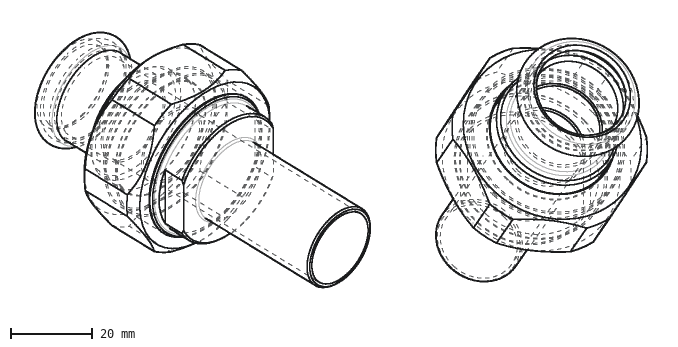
import cadquery as cq
import math

TOTAL_LENGTH = 92.0

TUBE_DIAMETER = 25.3
SOCKET_BORE = 22.3
SOCKET_STOP_BORE = 21.0
MOUTH_BORE = 22.8
MOUTH_LIP_DIAMETER = 24.6
MOUTH_LIP_END_X = 1.3
BEAD_CENTRE_X = 3.7
BEAD_DIAMETER = 30.9
BEAD_SHOULDER_DIAMETER = 27.4
BEAD_START_X = 0.9
BEAD_END_X = 6.6
BEAD_FOOT_X = 7.3
GROOVE_START_X = 1.7
GROOVE_END_X = 5.3
GROOVE_END_DIAMETER = 26.7
GROOVE_WALL_FOOT_X = 5.9
GROOVE_WALL_FOOT_DIAMETER = 24.3
COLLAR_DIAMETER = 31.0
COLLAR_X = 20.9
COLLAR_CHAMFER_LENGTH = 1.1
COLLAR_CHAMFER_DEPTH = 0.7
COLLAR_FILLET = 0.7
FLANGE_DIAMETER = 38.0

NUT_START_X = 26.5
NUT_LENGTH = 19.1
NUT_ACROSS_FLATS = 46.0
NUT_CORNER_DIAMETER = 49.7
NUT_TURN = 30.0
NUT_FACE_DIAMETER = 45.3
NUT_CHAMFER_LENGTH = 2.3
NUT_LIP_BORE = 31.5
NUT_LIP_LENGTH = 3.9
NUT_LIP_CHAMFER = 0.3

THREAD_DIAMETER = 38.9
THREAD_CHAMFER = 0.5
THREAD_END_X = 46.4
BOSS_DIAMETER = 35.4
BOSS_FILLET = 0.7
BOSS_END_X = 53.7
BOSS_CHAMFER = 0.55
BOSS_ACROSS_FLATS = 31.3
FLAT_START_X = 47.4
PIPE_DIAMETER = 22.0
PIPE_BORE = 19.6
PIPE_FILLET = 0.55
PIPE_END_CHAMFER = 0.5

FLANGE_X = NUT_START_X + NUT_LIP_LENGTH
FLANGE_THICKNESS = 3.7
JOINT_X = FLANGE_X + FLANGE_THICKNESS
NUT_END_X = NUT_START_X + NUT_LENGTH

WALL = (TUBE_DIAMETER - SOCKET_BORE) / 2
ARC_MID = math.sqrt(0.5)


def revolve_about_x(profile):
    """Turn a closed (X, radius) profile about the X axis."""
    return profile.close().revolve(360, (0, 0, 0), (1, 0, 0))


def fillet_to(profile, start, end, centre):
    """Add a quarter round that runs from start to end about centre."""
    middle = tuple(c + ARC_MID * ((s - c) + (e - c)) for s, e, c in zip(start, end, centre))
    return profile.lineTo(*start).threePointArc(middle, end)


def make_socket():
    tube_radius = TUBE_DIAMETER / 2
    collar_radius = COLLAR_DIAMETER / 2
    bore_radius = SOCKET_BORE / 2
    mouth_radius = MOUTH_BORE / 2
    mouth_round = (MOUTH_LIP_DIAMETER - MOUTH_BORE) / 2
    groove_radius = BEAD_DIAMETER / 2 - WALL
    collar_foot = COLLAR_X - COLLAR_FILLET

    profile = (
        cq.Workplane("XY")
        .moveTo(0, MOUTH_LIP_DIAMETER / 2)
        .lineTo(BEAD_START_X, BEAD_SHOULDER_DIAMETER / 2)
        .threePointArc((BEAD_CENTRE_X, BEAD_DIAMETER / 2), (BEAD_END_X, BEAD_SHOULDER_DIAMETER / 2))
        .lineTo(BEAD_FOOT_X, tube_radius)
    )
    profile = fillet_to(
        profile,
        (collar_foot, tube_radius),
        (COLLAR_X, tube_radius + COLLAR_FILLET),
        (collar_foot, tube_radius + COLLAR_FILLET),
    )
    profile = (
        profile.lineTo(COLLAR_X, collar_radius - COLLAR_CHAMFER_DEPTH)
        .lineTo(COLLAR_X + COLLAR_CHAMFER_LENGTH, collar_radius)
        .lineTo(FLANGE_X, collar_radius)
        .lineTo(FLANGE_X, FLANGE_DIAMETER / 2)
        .lineTo(JOINT_X, FLANGE_DIAMETER / 2)
        .lineTo(JOINT_X, SOCKET_STOP_BORE / 2)
        .lineTo(COLLAR_X, SOCKET_STOP_BORE / 2)
        .lineTo(COLLAR_X, bore_radius)
        .lineTo(BEAD_FOOT_X, bore_radius)
        .lineTo(GROOVE_WALL_FOOT_X, GROOVE_WALL_FOOT_DIAMETER / 2)
        .lineTo(GROOVE_END_X, GROOVE_END_DIAMETER / 2)
        .threePointArc((BEAD_CENTRE_X, groove_radius), (GROOVE_START_X, tube_radius))
        .lineTo(MOUTH_LIP_END_X, mouth_radius)
    )
    profile = fillet_to(
        profile,
        (mouth_round, mouth_radius),
        (0, mouth_radius + mouth_round),
        (mouth_round, mouth_radius + mouth_round),
    )
    return revolve_about_x(profile)


def make_nut():
    face_radius = NUT_FACE_DIAMETER / 2
    corner_radius = NUT_CORNER_DIAMETER / 2
    lip_radius = NUT_LIP_BORE / 2
    thread_radius = THREAD_DIAMETER / 2

    envelope = revolve_about_x(
        cq.Workplane("XY")
        .moveTo(NUT_START_X + NUT_LIP_CHAMFER, lip_radius)
        .lineTo(NUT_START_X, lip_radius + NUT_LIP_CHAMFER)
        .lineTo(NUT_START_X, face_radius)
        .lineTo(NUT_START_X + NUT_CHAMFER_LENGTH, corner_radius)
        .lineTo(NUT_END_X - NUT_CHAMFER_LENGTH, corner_radius)
        .lineTo(NUT_END_X, face_radius)
        .lineTo(NUT_END_X, thread_radius)
        .lineTo(FLANGE_X, thread_radius)
        .lineTo(FLANGE_X, lip_radius)
    )
    hexagon = (
        cq.Workplane("YZ", origin=(NUT_START_X, 0, 0))
        .polygon(6, NUT_ACROSS_FLATS, circumscribed=True)
        .extrude(NUT_LENGTH)
        .rotate((0, 0, 0), (1, 0, 0), NUT_TURN)
    )
    return envelope.intersect(hexagon)


def make_tail():
    thread_radius = THREAD_DIAMETER / 2
    boss_radius = BOSS_DIAMETER / 2
    pipe_radius = PIPE_DIAMETER / 2
    bore_radius = PIPE_BORE / 2
    boss_start = THREAD_END_X + BOSS_FILLET
    pipe_start = BOSS_END_X + PIPE_FILLET

    profile = (
        cq.Workplane("XY")
        .moveTo(JOINT_X, bore_radius)
        .lineTo(JOINT_X, thread_radius)
        .lineTo(THREAD_END_X - THREAD_CHAMFER, thread_radius)
        .lineTo(THREAD_END_X, thread_radius - THREAD_CHAMFER)
    )
    profile = fillet_to(
        profile,
        (THREAD_END_X, boss_radius + BOSS_FILLET),
        (boss_start, boss_radius),
        (boss_start, boss_radius + BOSS_FILLET),
    )
    profile = (
        profile.lineTo(BOSS_END_X - BOSS_CHAMFER, boss_radius)
        .lineTo(BOSS_END_X, boss_radius - BOSS_CHAMFER)
    )
    profile = fillet_to(
        profile,
        (BOSS_END_X, pipe_radius + PIPE_FILLET),
        (pipe_start, pipe_radius),
        (pipe_start, pipe_radius + PIPE_FILLET),
    )
    profile = (
        profile.lineTo(TOTAL_LENGTH - PIPE_END_CHAMFER, pipe_radius)
        .lineTo(TOTAL_LENGTH, pipe_radius - PIPE_END_CHAMFER)
        .lineTo(TOTAL_LENGTH, bore_radius)
    )
    tail = revolve_about_x(profile)

    flat_length = BOSS_END_X - FLAT_START_X
    cut_depth = boss_radius - BOSS_ACROSS_FLATS / 2
    for side in (-1, 1):
        cutter = cq.Workplane("XY").box(flat_length, cut_depth, BOSS_DIAMETER).translate(
            (FLAT_START_X + flat_length / 2, side * (BOSS_ACROSS_FLATS + cut_depth) / 2, 0)
        )
        tail = tail.cut(cutter)
    return tail


socket = make_socket()
nut = make_nut()
tail = make_tail()

result = cq.Compound.makeCompound([socket.val(), nut.val(), tail.val()])